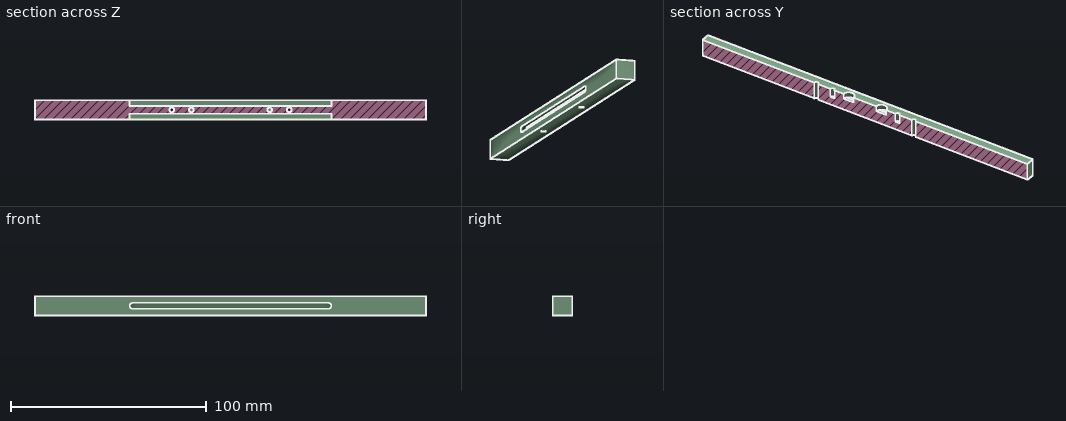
import cadquery as cq

bar_length = 200.0
bar_side = 10.0

slot_width = 3.0
slot_centre_distance = 100.0
slot_length = slot_centre_distance + slot_width
slot_depth = 3.0

large_hole_diameter = 6.0
large_hole_offset = 10.0
large_hole_depth = 3.0
small_hole_diameter = 2.3
blind_hole_offset = 20.0
blind_hole_depth = 5.0
through_hole_offset = 30.0


def make_bar():
    return cq.Workplane("XY").box(bar_length, bar_side, bar_side)


def cut_slot(body, side_face):
    """Cut a blind slot along the middle of the chosen long side face."""
    slot_plane = body.faces(side_face).workplane(centerOption="CenterOfBoundBox")
    return slot_plane.slot2D(slot_length, slot_width).cutBlind(-slot_depth)


def cut_hole_pair(body, diameter, offset, depth):
    """Cut two flat-bottomed holes into the top face, at -offset and +offset along X."""
    centres = [(-offset, 0), (offset, 0)]
    top_plane = body.faces(">Z").workplane(centerOption="CenterOfBoundBox")
    return top_plane.pushPoints(centres).circle(diameter / 2).cutBlind(-depth)


result = make_bar()
for side_face in ("<Y", ">Y"):
    result = cut_slot(result, side_face)
result = cut_hole_pair(result, large_hole_diameter, large_hole_offset, large_hole_depth)
result = cut_hole_pair(result, small_hole_diameter, blind_hole_offset, blind_hole_depth)
result = cut_hole_pair(result, small_hole_diameter, through_hole_offset, bar_side)